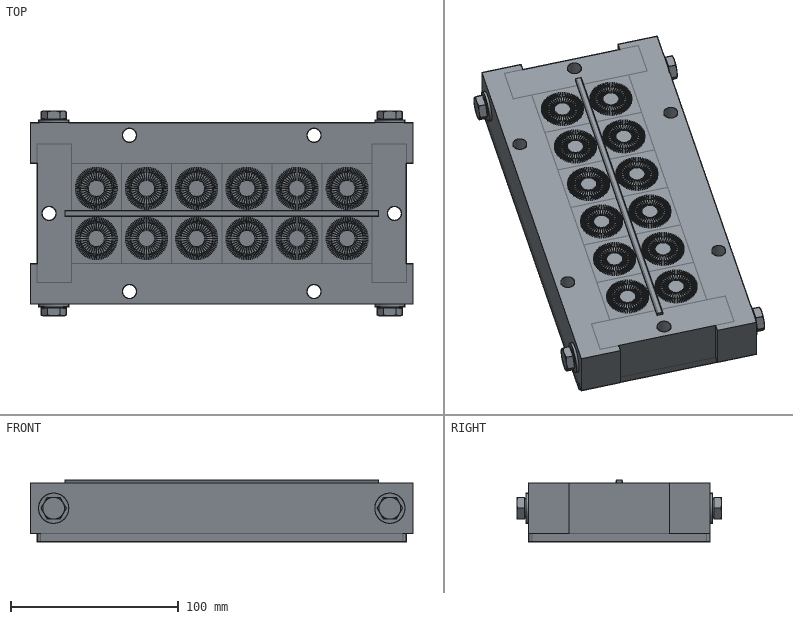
import cadquery as cq
import math

LENGTH = 228.0
WIDTH = 108.0
BASE_LENGTH = 219.8
BASE_HEIGHT = 5.0
BASE_CORNER_RADIUS = 2.0
TOP_Z = 35.0
END_PLATE_WIDTH = 82.5

MODULE_COLUMNS = 6
MODULE_ROWS = 2
MODULE_PITCH = 29.9
SLITS_PER_RING = 72
SLIT_WIDTH = 0.11
SLIT_DEPTH = 0.5
LONG_SLIT_INNER_RADIUS = 4.8
SHORT_SLIT_INNER_RADIUS = 9.3
SLIT_OUTER_RADIUS = 12.5
CORE_LENGTH = MODULE_COLUMNS * MODULE_PITCH
CORE_WIDTH = MODULE_ROWS * MODULE_PITCH

OVERALL_HEIGHT = 37.0
BAR_LENGTH = 187.0
BAR_WIDTH = 3.6
BAR_EDGE_RADIUS = 0.7

HOLE_DIAMETER = 8.2
SIDE_HOLE_X = 55.0
SIDE_HOLE_Y = 46.5
END_HOLE_X = 102.8

BOLT_X = 100.0
BOLT_Z = 20.0
OVERALL_WIDTH = 122.0
WASHER_DIAMETER = 18.0
WASHER_THICKNESS = 1.5
NECK_DIAMETER = 11.5
NECK_LENGTH = 0.7
HEX_ACROSS_FLATS = 13.0
HEX_FACE_DIAMETER = HEX_ACROSS_FLATS
HEX_CHAMFER_ANGLE = 30.0


def make_box(length, width, bottom_z, top_z):
    """Box centred on the Z axis between two heights."""
    return cq.Workplane("XY", origin=(0, 0, bottom_z)).rect(length, width).extrude(top_z - bottom_z)


def make_block():
    """Block without module caps; the flush seams between its pieces are kept."""
    base = make_box(BASE_LENGTH, WIDTH, 0, BASE_HEIGHT).edges("|Z").fillet(BASE_CORNER_RADIUS)
    core = make_box(CORE_LENGTH, CORE_WIDTH, BASE_HEIGHT, TOP_Z - SLIT_DEPTH)
    end_plates = make_box(BASE_LENGTH, END_PLATE_WIDTH, BASE_HEIGHT, TOP_Z).cut(
        make_box(CORE_LENGTH, END_PLATE_WIDTH, BASE_HEIGHT, TOP_Z)
    )
    rails = (
        make_box(LENGTH, WIDTH, BASE_HEIGHT, TOP_Z)
        .cut(make_box(LENGTH, CORE_WIDTH, BASE_HEIGHT, TOP_Z))
        .cut(end_plates)
    )
    block = base
    for piece in (core, end_plates, rails):
        block = block.union(piece, clean=False)
    return block


def make_mounting_holes():
    """Six plain holes running through the full height."""
    centres = [(x, y) for x in (-SIDE_HOLE_X, SIDE_HOLE_X) for y in (-SIDE_HOLE_Y, SIDE_HOLE_Y)]
    centres += [(-END_HOLE_X, 0), (END_HOLE_X, 0)]
    return cq.Workplane("XY").pushPoints(centres).circle(HOLE_DIAMETER / 2).extrude(TOP_Z)


def make_slit_outline(inner_radius, angle):
    """Closed rectangular outline of one radial slit around the Z axis."""
    length = SLIT_OUTER_RADIUS - inner_radius
    slit = cq.Workplane("XY").center(inner_radius + length / 2, 0).rect(length, SLIT_WIDTH)
    return slit.val().rotate(cq.Vector(0, 0, 0), cq.Vector(0, 0, 1), angle)


def make_module_cap():
    """Square cap with alternating long and short slits through it, resting on Z = 0."""
    outline = cq.Workplane("XY").rect(MODULE_PITCH, MODULE_PITCH).val()
    slits = []
    for index in range(SLITS_PER_RING):
        inner_radius = LONG_SLIT_INNER_RADIUS if index % 2 == 0 else SHORT_SLIT_INNER_RADIUS
        slits.append(make_slit_outline(inner_radius, index * 360.0 / SLITS_PER_RING))
    return cq.Workplane(obj=cq.Solid.extrudeLinear(outline, slits, cq.Vector(0, 0, SLIT_DEPTH)))


def make_guide_bar():
    """Bar with its two long upper edges rounded."""
    return (
        cq.Workplane("XY", origin=(0, 0, TOP_Z))
        .rect(BAR_LENGTH, BAR_WIDTH)
        .extrude(OVERALL_HEIGHT - TOP_Z)
        .edges("|X and >Z")
        .fillet(BAR_EDGE_RADIUS)
    )


def make_bolt():
    """Washer, neck and chamfered hexagon head, rising along +Z from the origin."""
    bolt_height = (OVERALL_WIDTH - WIDTH) / 2
    head_start = WASHER_THICKNESS + NECK_LENGTH
    hex_corner_diameter = HEX_ACROSS_FLATS / math.cos(math.radians(30))
    washer = cq.Workplane("XY").circle(WASHER_DIAMETER / 2).extrude(WASHER_THICKNESS)
    neck = cq.Workplane("XY").circle(NECK_DIAMETER / 2).extrude(head_start)
    head = (
        cq.Workplane("XY", origin=(0, 0, head_start))
        .polygon(6, hex_corner_diameter)
        .extrude(bolt_height - head_start)
    )
    cone_drop = bolt_height - head_start
    cone_base_radius = HEX_FACE_DIAMETER / 2 + cone_drop / math.tan(math.radians(HEX_CHAMFER_ANGLE))
    chamfer_cone = (
        cq.Workplane("XZ")
        .moveTo(0, head_start)
        .lineTo(cone_base_radius, head_start)
        .lineTo(HEX_FACE_DIAMETER / 2, bolt_height)
        .lineTo(0, bolt_height)
        .close()
        .revolve(360, (0, 0), (0, 1))
    )
    return washer.union(neck).union(head.intersect(chamfer_cone))


result = make_block().cut(make_mounting_holes(), clean=False)

module_cap = make_module_cap()
for column in range(MODULE_COLUMNS):
    for row in range(MODULE_ROWS):
        module_x = (column - (MODULE_COLUMNS - 1) / 2) * MODULE_PITCH
        module_y = (row - (MODULE_ROWS - 1) / 2) * MODULE_PITCH
        placed_cap = module_cap.translate((module_x, module_y, TOP_Z - SLIT_DEPTH))
        result = result.union(placed_cap, clean=False)

result = result.union(make_guide_bar(), clean=False)

front_bolt = make_bolt().rotate((0, 0, 0), (1, 0, 0), 90).translate((0, -WIDTH / 2, BOLT_Z))
for bolt_x in (-BOLT_X, BOLT_X):
    placed_bolt = front_bolt.translate((bolt_x, 0, 0))
    for bolt in (placed_bolt, placed_bolt.mirror("XZ")):
        result = result.union(bolt, clean=False)